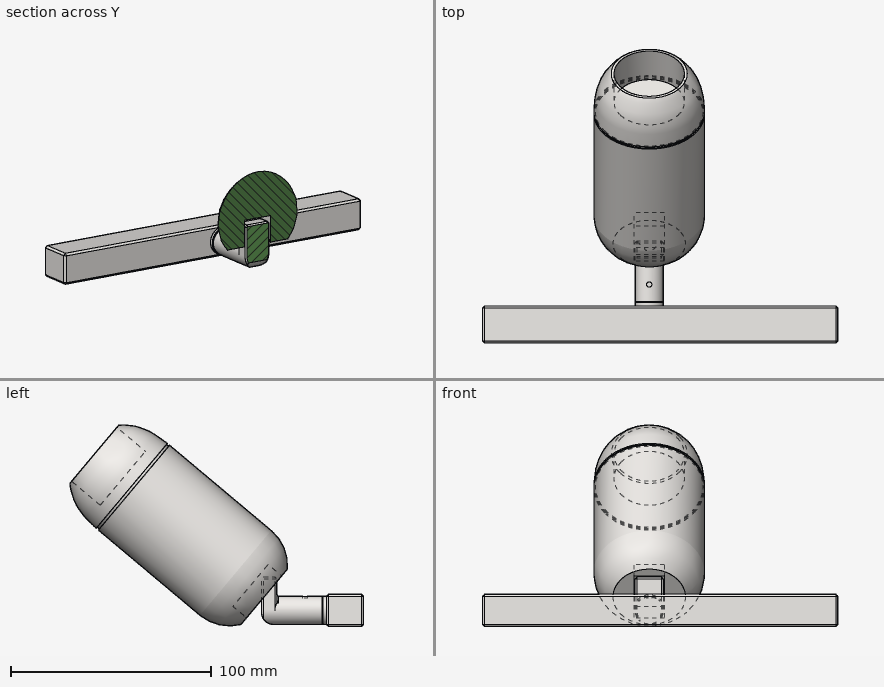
import cadquery as cq
import math


BAR_LENGTH = 177.2
BAR_DEPTH = 18.6
BAR_HEIGHT = 16.1
BAR_CHAMFER = 1.0
BAR_CENTER_X = 5.5

STEM_DIAMETER = 14.2
STEM_RADIUS = STEM_DIAMETER / 2
COLLAR_LENGTH = 1.6
GROOVE_WIDTH = 0.5
GROOVE_DEPTH = 0.4
SCREW_HOLE_DIAMETER = 2.7
SCREW_HOLE_DEPTH = 0.9
SCREW_HOLE_Y = 10.6

ARM_BACK_Y = 32.5
ARM_THICKNESS = 7.8
ARM_FRONT_Y = ARM_BACK_Y - ARM_THICKNESS
ARM_TOP_Z = 16.7
ARM_CHAMFER = 1.0
ARM_ROOT_CHAMFER = 0.7
ELBOW_RADIUS = 6.2

HEAD_TILT = 40.0
HEAD_BASE_Y = 31.0
HEAD_BASE_Z = 6.7
HEAD_LENGTH = 110.5
HEAD_RADIUS = 27.6
BASE_RADIUS = 18.0
BASE_CURVE_LENGTH = 18.5
RIM_RADIUS = 19.5
CAP_LENGTH = 24.5
CAP_END_ANGLE = 45.0
CAP_GROOVE_WIDTH = 1.5
CAP_GROOVE_DEPTH = 0.7
BORE_RADIUS = 17.5
BORE_DEPTH = 18.6
RIM_CHAMFER = 0.5

SLOT_CLEARANCE = 0.5
SLOT_WIDTH = STEM_DIAMETER + 2 * SLOT_CLEARANCE
SLOT_LENGTH = 27.3
SLOT_DEPTH = 8.9


def make_bar():
    bar = cq.Workplane("XY").box(BAR_LENGTH, BAR_DEPTH, BAR_HEIGHT)
    return bar.translate((BAR_CENTER_X, -BAR_DEPTH / 2, 0)).edges().chamfer(BAR_CHAMFER)


def y_cylinder(radius, start, end):
    """Cylinder on the stem axis between two Y positions."""
    return cq.Workplane("XZ", origin=(0, start, 0)).circle(radius).extrude(start - end)


def make_arm():
    """Upright flat arm whose half-round foot is the end of the stem."""
    foot = y_cylinder(STEM_RADIUS, ARM_FRONT_Y - ELBOW_RADIUS, ARM_BACK_Y)
    upright = (
        cq.Workplane("XY", origin=(0, (ARM_FRONT_Y + ARM_BACK_Y) / 2, 0))
        .rect(STEM_DIAMETER, ARM_THICKNESS)
        .extrude(ARM_TOP_Z)
        .edges("|Z or >Z")
        .chamfer(ARM_CHAMFER)
    )
    foot = foot.faces(">Y").chamfer(ARM_CHAMFER)
    return foot.union(upright).union(arm_root()).cut(elbow_corner())


def arm_root():
    """Sloped collar that fills the corner between the stem's upper half and the arm."""
    cone = (
        cq.Workplane("XY")
        .moveTo(0, ARM_FRONT_Y - ARM_ROOT_CHAMFER)
        .lineTo(STEM_RADIUS, ARM_FRONT_Y - ARM_ROOT_CHAMFER)
        .lineTo(STEM_RADIUS + ARM_ROOT_CHAMFER, ARM_FRONT_Y)
        .lineTo(0, ARM_FRONT_Y)
        .close()
        .revolve(360, (0, 0, 0), (0, 1, 0))
    )
    face_width = STEM_DIAMETER - 2 * ARM_CHAMFER
    return cone.intersect(
        cq.Workplane("XY").rect(face_width, 2 * ARM_BACK_Y).extrude(ARM_TOP_Z)
    )


def elbow_corner():
    """Material outside the rounded lower back corner of the elbow."""
    center_y = ARM_BACK_Y - ELBOW_RADIUS
    center_z = ELBOW_RADIUS - STEM_RADIUS
    reach = ELBOW_RADIUS * math.sqrt(0.5)
    return (
        cq.Workplane("YZ")
        .moveTo(center_y, -STEM_RADIUS)
        .threePointArc((center_y + reach, center_z - reach), (ARM_BACK_Y, center_z))
        .lineTo(ARM_BACK_Y, -STEM_RADIUS)
        .close()
        .extrude(STEM_RADIUS, both=True)
    )


def make_mount():
    """Track bar, stem and arm in one piece."""
    stem = y_cylinder(STEM_RADIUS, -BAR_DEPTH / 2, ARM_FRONT_Y)
    groove_end = COLLAR_LENGTH + GROOVE_WIDTH
    groove = y_cylinder(STEM_DIAMETER, COLLAR_LENGTH, groove_end).cut(
        y_cylinder(STEM_RADIUS - GROOVE_DEPTH, COLLAR_LENGTH, groove_end)
    )
    screw_hole = (
        cq.Workplane("XY", origin=(0, SCREW_HOLE_Y, STEM_RADIUS - SCREW_HOLE_DEPTH))
        .circle(SCREW_HOLE_DIAMETER / 2)
        .extrude(STEM_DIAMETER)
    )
    return make_bar().union(stem).union(make_arm()).cut(groove).cut(screw_hole)


def make_head():
    """Lamp head, turned about its axis and then tilted into place."""
    base_fall = HEAD_RADIUS - BASE_RADIUS
    base_arc_radius = (BASE_CURVE_LENGTH**2 + base_fall**2) / (2 * base_fall)
    base_arc_center = HEAD_RADIUS - base_arc_radius
    base_mid = base_arc_center + math.sqrt(base_arc_radius**2 - (BASE_CURVE_LENGTH / 2) ** 2)
    cap_end_angle = math.radians(CAP_END_ANGLE)
    cap_end_direction = (-math.sin(cap_end_angle), math.cos(cap_end_angle))
    cap_start = HEAD_LENGTH - CAP_LENGTH
    groove_start = cap_start - CAP_GROOVE_WIDTH
    groove_radius = HEAD_RADIUS - CAP_GROOVE_DEPTH
    rim_start = HEAD_LENGTH - RIM_CHAMFER
    floor = HEAD_LENGTH - BORE_DEPTH

    head = (
        cq.Workplane("XZ")
        .lineTo(BASE_RADIUS, 0)
        .threePointArc((base_mid, BASE_CURVE_LENGTH / 2), (HEAD_RADIUS, BASE_CURVE_LENGTH))
        .lineTo(HEAD_RADIUS, groove_start)
        .lineTo(groove_radius, groove_start)
        .lineTo(groove_radius, cap_start)
        .lineTo(HEAD_RADIUS, cap_start)
        .spline([(RIM_RADIUS, rim_start)], tangents=[(0, 1), cap_end_direction], includeCurrent=True)
        .lineTo(RIM_RADIUS - RIM_CHAMFER, HEAD_LENGTH)
        .lineTo(BORE_RADIUS, HEAD_LENGTH)
        .lineTo(BORE_RADIUS, floor)
        .lineTo(0, floor)
        .close()
        .revolve(360, (0, 0, 0), (0, 1, 0))
    )
    slot = cq.Workplane("XY").rect(SLOT_WIDTH, SLOT_LENGTH).extrude(SLOT_DEPTH)
    tilt_from_vertical = HEAD_TILT - 90
    return (
        head.cut(slot)
        .rotate((0, 0, 0), (1, 0, 0), tilt_from_vertical)
        .translate((0, HEAD_BASE_Y, HEAD_BASE_Z))
    )


mount = make_mount()
head = make_head()

result = cq.Compound.makeCompound([mount.solids().val(), head.solids().val()])